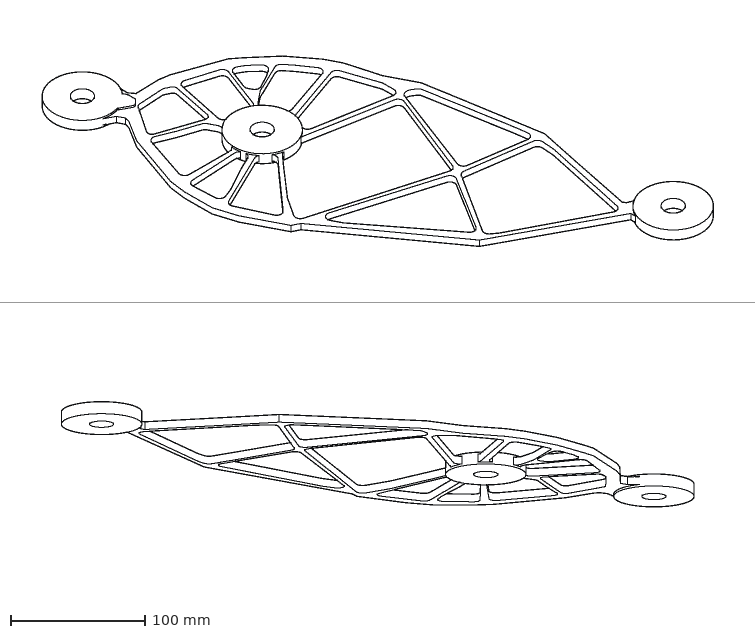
import cadquery as cq

BOSS_DIAMETER = 60.0
BORE_DIAMETER = 18.0
BOSS_HEIGHT = 9.36
PLATE_THICKNESS = 6.0
HUB_X = 140.0
RIGHT_BOSS_X = 460.0
CORNER_RADIUS = 5.0
SMALL_CORNER_RADIUS = 4.0
HUB_OVERLAP = 0.3
TONGUE_RADIUS = 3.0

BOSS_CENTRES = [(0, 0), (HUB_X, 0), (RIGHT_BOSS_X, 0)]

PLATE_OUTLINE = [
    (15, 15),
    (22, 20.3),
    (30, 16),
    (36.5, 17),
    (47.4, 38),
    (54, 46.5),
    (89.5, 78),
    (99.5, 82.5),
    (127.5, 93.3),
    (157, 98.4),
    (173, 98.4),
    (205.5, 92),
    (235.5, 92),
    (266.5, 82.5),
    (341.7, 59),
    (376, 31.5),
    (421.5, -4.5),
    (425, -4.5),
    (430, 0),
    (445, -10),
    (436.5, -18.7),
    (432, -16.3),
    (334, -80.8),
    (201, -100.2),
    (194.6, -104.72),
    (154, -104.72),
    (132, -101),
    (107, -88.6),
    (93.3, -79.4),
    (54.2, -38.7),
    (41.5, -17.5),
    (38, -14.3),
    (31, -14.3),
    (22, -20.3),
    (15, -15),
]

WINDOWS = [
    ([(42, 3.5), (54, 28.5), (61.5, 34), (98.6, 4.8), (60.4, -30.2)], SMALL_CORNER_RADIUS),
    ([(91, 66.5), (128, 26), (130, 5), (105, 5), (62.5, 39)], CORNER_RADIUS),
    ([(94, 67.5), (105, 74.3), (121.5, 80), (123, 66), (122.8, 47.5), (112, 47.5)], CORNER_RADIUS),
    ([(129, 20), (124, 47), (126, 82.5), (139, 85), (163, 88), (151, 20)], CORNER_RADIUS),
    ([(155, 10), (168.5, 89), (208, 83.3), (224, 75.5), (165, 3)], CORNER_RADIUS),
    ([(226.5, 75), (229, 80.5), (236.5, 84.8), (317.3, 60.3), (336, 54), (294.6, 0)], CORNER_RADIUS),
    (
        [(155, -5), (164.8, -4.5), (226.4, 70.5), (291, -2.5), (196.2, -98), (182.3, -73.2), (168.2, -37.1),
         (160, -15)],
        CORNER_RADIUS,
    ),
    ([(335, -73), (296, -5.5), (339.3, 51.3), (353.5, 42.9), (424.5, -14.5), (345.6, -68)], CORNER_RADIUS),
    ([(208.5, -90.1), (292.1, -8), (330.5, -72.5), (230.9, -90.1)], CORNER_RADIUS),
    ([(145, -20), (143.5, -50), (141.3, -94.3), (186.5, -96.3), (166.9, -44.3), (158, -20)], CORNER_RADIUS),
    ([(134, -20), (140, -20), (138.6, -48), (138.6, -76), (136.5, -91), (105.9, -77.5)], CORNER_RADIUS),
    ([(61.5, -33), (79, -18.8), (96, -3), (130, -3), (130, -20), (100.5, -72.5)], CORNER_RADIUS),
]

TONGUE_OUTLINE = [(20, 11.7), (32, 11.7), (39, 8), (41, 1), (30, -6.3), (20, -8)]


def cylinder(centre, diameter):
    """Full-height cylinder about a vertical axis, centred on mid thickness."""
    base = cq.Workplane("XY").workplane(offset=-BOSS_HEIGHT / 2)
    return base.center(*centre).circle(diameter / 2).extrude(BOSS_HEIGHT)


def plate_prism(points):
    """Straight-sided prism as thick as the plate, centred on mid thickness."""
    base = cq.Workplane("XY").workplane(offset=-PLATE_THICKNESS / 2)
    return base.polyline(points).close().extrude(PLATE_THICKNESS)


def window(corners, radius):
    """Cutter for one window: trimmed by the hub circle, then rounded at its corners."""
    hub_core = cylinder((HUB_X, 0), BOSS_DIAMETER - 2 * HUB_OVERLAP)
    hub_core = hub_core.rotate((HUB_X, 0, 0), (HUB_X, 0, 1), 180)
    return plate_prism(corners).cut(hub_core).edges("|Z").fillet(radius)


def plate():
    """Leaf-shaped plate with all its windows cut through."""
    body = plate_prism(PLATE_OUTLINE)
    for corners, radius in WINDOWS:
        body = body.cut(window(corners, radius))
    return body


def tongue():
    """Pointed tongue, flush with the top of the left boss and rounded at its tip."""
    outline = cq.Workplane("XY").polyline(TONGUE_OUTLINE).close()
    return outline.extrude(BOSS_HEIGHT / 2).edges("|Z and >X").fillet(TONGUE_RADIUS)


result = plate().union(tongue())
for boss_centre in BOSS_CENTRES:
    result = result.union(cylinder(boss_centre, BOSS_DIAMETER))
for boss_centre in BOSS_CENTRES:
    result = result.cut(cylinder(boss_centre, BORE_DIAMETER))